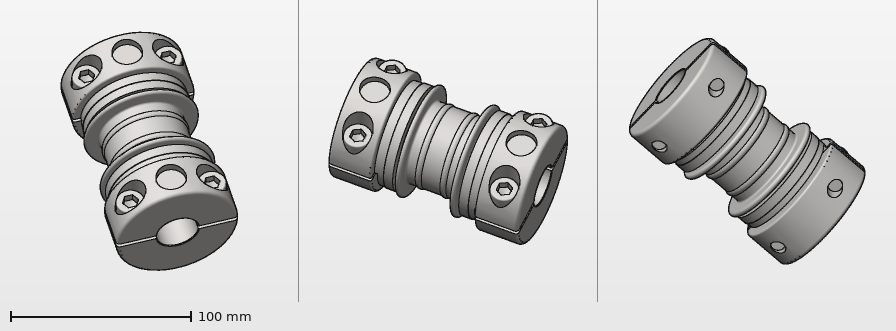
import cadquery as cq

length = 115.0
half_length = length / 2
hub_diameter = 70.0
hub_radius = hub_diameter / 2
hub_width = 26.2
hub_inner_x = half_length - hub_width
outer_fillet = 2.0
inner_fillet = 1.2
shaft_bore_diameter = 24.0
bore_chamfer = 0.5
relief_bore_radius = 30.0 / 2

split_gap = 2.6
cap_side_gap = 1.8
neck_face_x = hub_inner_x - cap_side_gap

neck_radius = 61.3 / 2
collar_radius = 62.1 / 2
collar_outer_x = 25.6
collar_inner_x = 20.0

tube_radius = 48.6 / 2
disc_radius = 33.0
disc_x = 16.6
disc_thickness = 3.1
disc_near_x = disc_x - disc_thickness / 2
disc_far_x = disc_x + disc_thickness / 2
disc_root_fillet = 1.2
bead_x = 7.5
bead_width = 3.7
bead_height = 0.7

screw_x = half_length - hub_width / 2
screw_y = 23.5
shank_diameter = 10.4
head_diameter = 16.0
head_height = 10.0
head_top_z = 20.8
head_fillet = 0.8
head_seat_z = head_top_z - head_height
socket_flats = 7.9
socket_depth = 6.9
socket_cone_slope = 0.58
screw_length = 29.9
screw_tip_z = head_seat_z - screw_length
counterbore_diameter = 17.0
tapped_hole_diameter = 8.5

pocket_diameter = counterbore_diameter
pocket_floor_z = 30.0


def x_cylinder(radius, x_start, x_end):
    return cq.Workplane("YZ", origin=(x_start, 0, 0)).circle(radius).extrude(x_end - x_start)


def z_cylinder(diameter, x, y, z_start, z_end):
    base = cq.Workplane("XY", origin=(x, y, z_start))
    return base.circle(diameter / 2).extrude(z_end - z_start)


def revolve_about_x(profile):
    return profile.close().revolve(360, (0, 0, 0), (1, 0, 0))


def make_disc():
    """Disc with a fully rounded rim and concave fillets at its root."""
    rim_center_radius = disc_radius - disc_thickness / 2
    root_radius = tube_radius + disc_root_fillet
    return revolve_about_x(
        cq.Workplane("XY")
        .moveTo(disc_near_x - disc_root_fillet, tube_radius)
        .radiusArc((disc_near_x, root_radius), -disc_root_fillet)
        .lineTo(disc_near_x, rim_center_radius)
        .threePointArc((disc_x, disc_radius), (disc_far_x, rim_center_radius))
        .lineTo(disc_far_x, root_radius)
        .radiusArc((disc_far_x + disc_root_fillet, tube_radius), -disc_root_fillet)
        .lineTo(disc_far_x + disc_root_fillet, relief_bore_radius)
        .lineTo(disc_near_x - disc_root_fillet, relief_bore_radius)
    )


def make_bead():
    """Low crowned ring around the tube."""
    bead_start = bead_x - bead_width / 2
    bead_end = bead_x + bead_width / 2
    return revolve_about_x(
        cq.Workplane("XY")
        .moveTo(bead_start, tube_radius)
        .threePointArc((bead_x, tube_radius + bead_height), (bead_end, tube_radius))
        .lineTo(bead_end, relief_bore_radius)
        .lineTo(bead_start, relief_bore_radius)
    )


def make_hub():
    """Clamping hub disc with its shaft bore."""
    hub = x_cylinder(hub_radius, hub_inner_x, half_length)
    hub = hub.faces(">X").edges().fillet(outer_fillet)
    hub = hub.faces("<X").edges().fillet(inner_fillet)
    hub = hub.cut(x_cylinder(shaft_bore_diameter / 2, hub_inner_x, half_length))
    return hub.faces(">X").edges(cq.selectors.RadiusNthSelector(0)).chamfer(bore_chamfer)


def make_split():
    """Slot between the hub halves plus the gap behind the lower cap."""
    slot_length = half_length - neck_face_x
    slot = cq.Workplane("XY").box(slot_length, hub_diameter, split_gap, centered=(False, True, True))
    side_gap = cq.Workplane("XY", origin=(0, 0, -hub_radius)).box(
        cap_side_gap, hub_diameter, hub_radius, centered=(False, True, False)
    )
    return slot.union(side_gap).translate((neck_face_x, 0, 0))


def make_screw(y):
    """Socket head screw with a hexagonal socket that ends in a shallow cone."""
    head = z_cylinder(head_diameter, screw_x, y, head_seat_z, head_top_z)
    head = head.faces(">Z").edges().fillet(head_fillet)
    shank = z_cylinder(shank_diameter, screw_x, y, -split_gap, head_seat_z)
    thread = z_cylinder(tapped_hole_diameter, screw_x, y, screw_tip_z, -split_gap)
    cone_tip_z = head_top_z - socket_depth
    socket = (
        cq.Workplane("XY", origin=(screw_x, y, cone_tip_z))
        .polygon(6, socket_flats, circumscribed=True)
        .extrude(socket_depth)
    )
    drill_point = (
        cq.Workplane("XZ", origin=(screw_x, y, cone_tip_z))
        .lineTo(socket_flats, socket_cone_slope * socket_flats)
        .lineTo(socket_flats, socket_depth)
        .lineTo(0, socket_depth)
        .close()
        .revolve(360, (0, 0, 0), (0, 1, 0))
    )
    return head.union(shank).union(thread).cut(socket.intersect(drill_point))


def make_side():
    """Everything on the +X side except the shared tube."""
    side = x_cylinder(collar_radius, collar_inner_x, collar_outer_x)
    side = side.union(x_cylinder(neck_radius, collar_outer_x, hub_inner_x))
    side = side.cut(x_cylinder(relief_bore_radius, collar_inner_x, hub_inner_x))
    side = side.union(make_disc()).union(make_bead())
    side = side.union(make_hub())
    side = side.cut(make_split())
    side = side.cut(z_cylinder(pocket_diameter, screw_x, 0, pocket_floor_z, hub_radius))
    for y in (-screw_y, screw_y):
        side = side.cut(z_cylinder(counterbore_diameter, screw_x, y, head_seat_z, hub_radius))
        side = side.cut(z_cylinder(tapped_hole_diameter, screw_x, y, -hub_radius, -split_gap))
        side = side.union(make_screw(y))
    return side


tube = x_cylinder(tube_radius, -collar_inner_x, collar_inner_x)
tube = tube.cut(x_cylinder(relief_bore_radius, -collar_inner_x, collar_inner_x))
right_side = make_side()
left_side = right_side.mirror("YZ")
result = tube.union(right_side).union(left_side)